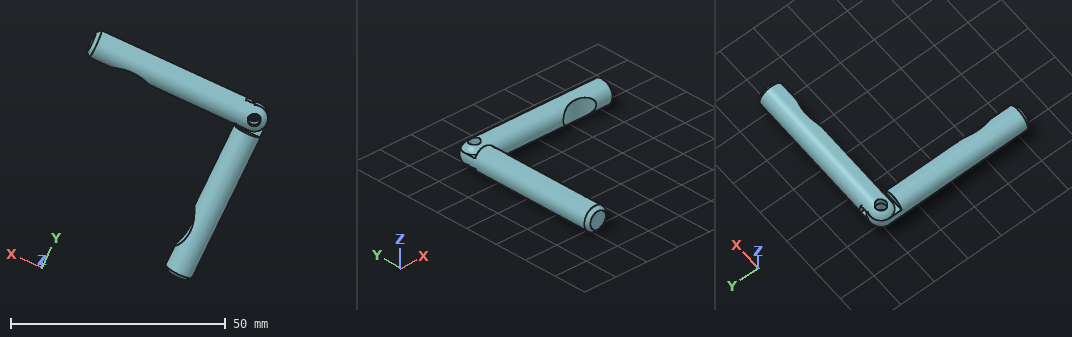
import cadquery as cq

overall_length = 45.5
rod_diameter = 7.0
hinge_hole_diameter = 3.0
tongue_thickness = 2.9
joint_clearance = 0.1
end_chamfer = 1.0
scallop_radius = 10.0
scallop_depth = 1.5
scallop_distance = 30.55

rod_radius = rod_diameter / 2
rod_reach = overall_length - rod_radius
shoulder_distance = rod_radius + joint_clearance
cheek_thickness = rod_radius - tongue_thickness / 2


def plain_rod():
    """Rod along +X with a ball end on the hinge axis and a chamfered flat end."""
    shaft = (
        cq.Workplane("YZ")
        .circle(rod_radius)
        .extrude(rod_reach)
        .faces(">X")
        .chamfer(end_chamfer)
    )
    ball = cq.Workplane("XY").sphere(rod_radius)
    hinge_hole = cq.Workplane("XY").circle(hinge_hole_diameter / 2).extrude(rod_radius, both=True)
    return shaft.union(ball).cut(hinge_hole)


def scallop(side):
    """Round cutter along Z for the shallow hollow on the +Y (1) or -Y (-1) side."""
    axis_offset = rod_radius - scallop_depth + scallop_radius
    return (
        cq.Workplane("XY")
        .center(scallop_distance, side * axis_offset)
        .circle(scallop_radius)
        .extrude(rod_radius, both=True)
    )


def joint_block(thickness, center_height):
    """Cutter covering the ball end out to the shoulder, at a given height."""
    return (
        cq.Workplane("XY")
        .box(rod_radius + shoulder_distance, rod_diameter, thickness)
        .translate(((shoulder_distance - rod_radius) / 2, 0, center_height))
    )


def make_fork_rod():
    """Rod along +X whose ball end is slotted to take the tongue."""
    slot = joint_block(tongue_thickness, 0)
    return plain_rod().cut(slot).cut(scallop(-1))


def make_tongue_rod():
    """Rod along -Y whose ball end is cut above and below to leave the tongue."""
    rod = plain_rod().cut(scallop(1))
    cheek_height = (tongue_thickness + cheek_thickness) / 2
    for side in (-1, 1):
        rod = rod.cut(joint_block(cheek_thickness, side * cheek_height))
    return rod.rotate((0, 0, 0), (0, 0, 1), -90)


fork_rod = make_fork_rod().solids()
tongue_rod = make_tongue_rod().solids()

result = cq.Compound.makeCompound([fork_rod.val(), tongue_rod.val()])